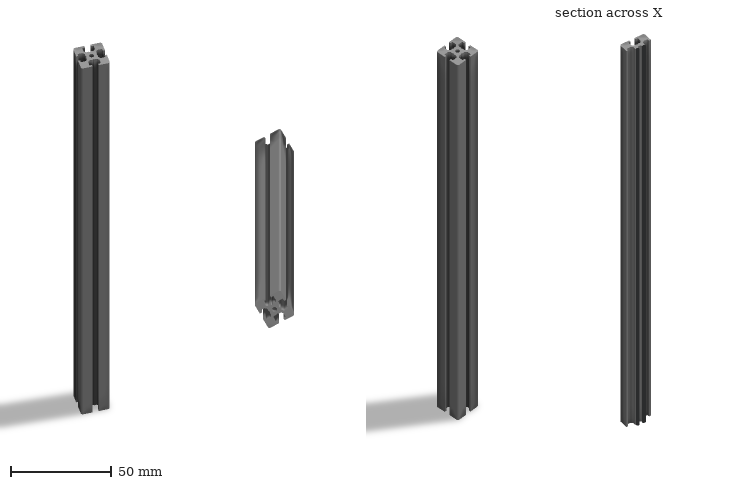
import cadquery as cq

length = 246.0
width = 15.0
corner_radius = 1.0
bore_diameter = 2.5

slot_opening = 3.2
slot_inner_width = 6.0
lip_thickness = 1.1
wall_bottom = 4.0
floor_width = 4.0
floor_distance = 3.0

groove_width = 1.0
groove_depth = 0.37


def slot_cutter():
    """T-slot open to +Y, with tapered bottom corners and a V-grooved floor."""
    outer_face = width / 2
    lip_inner_face = outer_face - lip_thickness
    right_half = [
        (slot_opening / 2, outer_face),
        (slot_opening / 2, lip_inner_face),
        (slot_inner_width / 2, lip_inner_face),
        (slot_inner_width / 2, wall_bottom),
        (floor_width / 2, floor_distance),
        (groove_width / 2, floor_distance),
    ]
    groove_tip = (0, floor_distance - groove_depth)
    left_half = [(-x, y) for x, y in reversed(right_half)]
    outline = right_half + [groove_tip] + left_half
    return cq.Workplane("XY").polyline(outline).close().extrude(length)


result = cq.Workplane("XY").rect(width, width).extrude(length)
result = result.edges("|Z").fillet(corner_radius)

slot = slot_cutter()
for angle in (0, 90, 180, 270):
    result = result.cut(slot.rotate((0, 0, 0), (0, 0, 1), angle))

bore = cq.Workplane("XY").circle(bore_diameter / 2).extrude(length)
result = result.cut(bore)